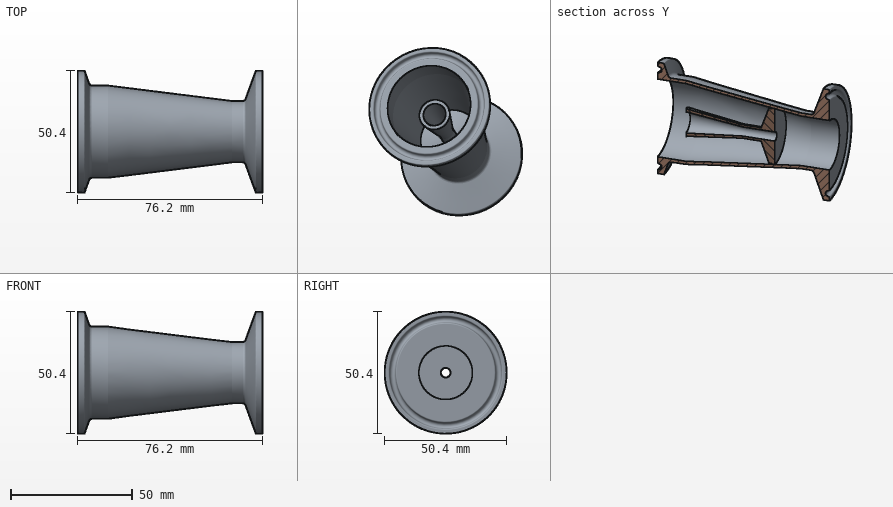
import cadquery as cq
import math

LENGTH = 76.2
HALF_LENGTH = LENGTH / 2
FERRULE_RADIUS = 50.4 / 2

LARGE_OUTER_RADIUS = 38.1 / 2
LARGE_BORE_RADIUS = 34.8 / 2
SMALL_OUTER_RADIUS = 25.4 / 2
SMALL_BORE_RADIUS = 22.1 / 2
END_LENGTH = 12.6
TAPER_X = HALF_LENGTH - END_LENGTH

RIM_THICKNESS = 2.8
BACK_ANGLE = math.radians(20.0)
BACK_SLOPE = math.tan(BACK_ANGLE)
RIM_FILLET = 0.365
NECK_FILLET = 1.15

GROOVE_RADIUS = 43.75 / 2
GROOVE_DEPTH = 1.75
GROOVE_ARC_RADIUS = 1.15
GROOVE_LIP_FILLET = 0.5
FLANK_ANGLE = math.radians(20.0)
GROOVE_ARC_HALF_WIDTH = GROOVE_ARC_RADIUS * math.cos(FLANK_ANGLE)
GROOVE_FLANK_DEPTH = GROOVE_DEPTH - GROOVE_ARC_RADIUS * (1 - math.sin(FLANK_ANGLE))
GROOVE_HALF_WIDTH = GROOVE_ARC_HALF_WIDTH + GROOVE_FLANK_DEPTH * math.tan(FLANK_ANGLE)

INSERT_OUTER_RADIUS = 12.7 / 2
INSERT_BORE_RADIUS = 9.4 / 2
STEM_OUTER_RADIUS = 6.3 / 2
STEM_BORE_RADIUS = 3.9 / 2
INSERT_RIM_RADIUS = 25.0 / 2
INSERT_START_X = -TAPER_X
INSERT_TAPER_LENGTH = 25.15

EDGE_TOLERANCE = 0.01


def ferrule_neck_x(rim_radius, tube_radius):
    """Distance from a ferrule's face to where its sloping back meets the tube."""
    return RIM_THICKNESS + (rim_radius - tube_radius) * BACK_SLOPE


def revolve_about_x(profile):
    """Turn an (x, radius) profile into a solid of revolution about X."""
    return profile.close().revolve(360, (0, 0, 0), (1, 0, 0))


def fillet_circle(body, x, radius, fillet):
    """Fillet the circular edge that has this radius and this place along the axis."""
    edges = [
        edge for edge in body.edges("%CIRCLE").vals()
        if abs(edge.Center().x - x) < EDGE_TOLERANCE and abs(edge.radius() - radius) < EDGE_TOLERANCE
    ]
    return body.newObject(edges).fillet(fillet)


def make_reducer_blank():
    """Outer shape and bore of the reducer, with its rims and necks rounded."""
    large_neck_x = -HALF_LENGTH + ferrule_neck_x(FERRULE_RADIUS, LARGE_OUTER_RADIUS)
    small_neck_x = HALF_LENGTH - ferrule_neck_x(FERRULE_RADIUS, SMALL_OUTER_RADIUS)
    profile = cq.Workplane("XY").polyline([
        (-HALF_LENGTH, LARGE_BORE_RADIUS),
        (-HALF_LENGTH, FERRULE_RADIUS),
        (-HALF_LENGTH + RIM_THICKNESS, FERRULE_RADIUS),
        (large_neck_x, LARGE_OUTER_RADIUS),
        (-TAPER_X, LARGE_OUTER_RADIUS),
        (TAPER_X, SMALL_OUTER_RADIUS),
        (small_neck_x, SMALL_OUTER_RADIUS),
        (HALF_LENGTH - RIM_THICKNESS, FERRULE_RADIUS),
        (HALF_LENGTH, FERRULE_RADIUS),
        (HALF_LENGTH, SMALL_BORE_RADIUS),
        (TAPER_X, SMALL_BORE_RADIUS),
        (-TAPER_X, LARGE_BORE_RADIUS),
    ])
    blank = revolve_about_x(profile)

    rim_xs = (-HALF_LENGTH, -HALF_LENGTH + RIM_THICKNESS, HALF_LENGTH - RIM_THICKNESS, HALF_LENGTH)
    for x in rim_xs:
        blank = fillet_circle(blank, x, FERRULE_RADIUS, RIM_FILLET)
    blank = fillet_circle(blank, large_neck_x, LARGE_OUTER_RADIUS, NECK_FILLET)
    return fillet_circle(blank, small_neck_x, SMALL_OUTER_RADIUS, NECK_FILLET)


def make_gasket_groove(face_x, inward):
    """Ring that cuts the gasket groove; inward is +1 or -1 along X, into the metal."""
    flank_end_x = face_x + inward * GROOVE_FLANK_DEPTH
    bottom_x = face_x + inward * GROOVE_DEPTH
    profile = (
        cq.Workplane("XY")
        .moveTo(face_x, GROOVE_RADIUS - GROOVE_HALF_WIDTH)
        .lineTo(flank_end_x, GROOVE_RADIUS - GROOVE_ARC_HALF_WIDTH)
        .threePointArc((bottom_x, GROOVE_RADIUS), (flank_end_x, GROOVE_RADIUS + GROOVE_ARC_HALF_WIDTH))
        .lineTo(face_x, GROOVE_RADIUS + GROOVE_HALF_WIDTH)
    )
    return revolve_about_x(profile)


def make_reducer():
    """Reducer with a gasket groove in the face of each ferrule."""
    reducer = make_reducer_blank()
    for face_x, inward in ((-HALF_LENGTH, 1), (HALF_LENGTH, -1)):
        reducer = reducer.cut(make_gasket_groove(face_x, inward))
        for lip_radius in (GROOVE_RADIUS - GROOVE_HALF_WIDTH, GROOVE_RADIUS + GROOVE_HALF_WIDTH):
            reducer = fillet_circle(reducer, face_x, lip_radius, GROOVE_LIP_FILLET)
    return reducer


def make_insert():
    """Insert whose small rim seats on the tapered bore of the reducer."""
    bore_taper = (LARGE_BORE_RADIUS - SMALL_BORE_RADIUS) / (2 * TAPER_X)
    face_x = -TAPER_X + (LARGE_BORE_RADIUS - INSERT_RIM_RADIUS) / bore_taper
    neck_x = face_x - ferrule_neck_x(INSERT_RIM_RADIUS, STEM_OUTER_RADIUS)
    taper_end_x = INSERT_START_X + INSERT_TAPER_LENGTH
    profile = cq.Workplane("XY").polyline([
        (INSERT_START_X, INSERT_BORE_RADIUS),
        (INSERT_START_X, INSERT_OUTER_RADIUS),
        (taper_end_x, STEM_OUTER_RADIUS),
        (neck_x, STEM_OUTER_RADIUS),
        (face_x - RIM_THICKNESS, INSERT_RIM_RADIUS),
        (face_x, INSERT_RIM_RADIUS),
        (face_x, STEM_BORE_RADIUS),
        (taper_end_x, STEM_BORE_RADIUS),
    ])
    return revolve_about_x(profile)


reducer = make_reducer()
insert = make_insert()
result = cq.Compound.makeCompound([reducer.solids().val(), insert.val()])